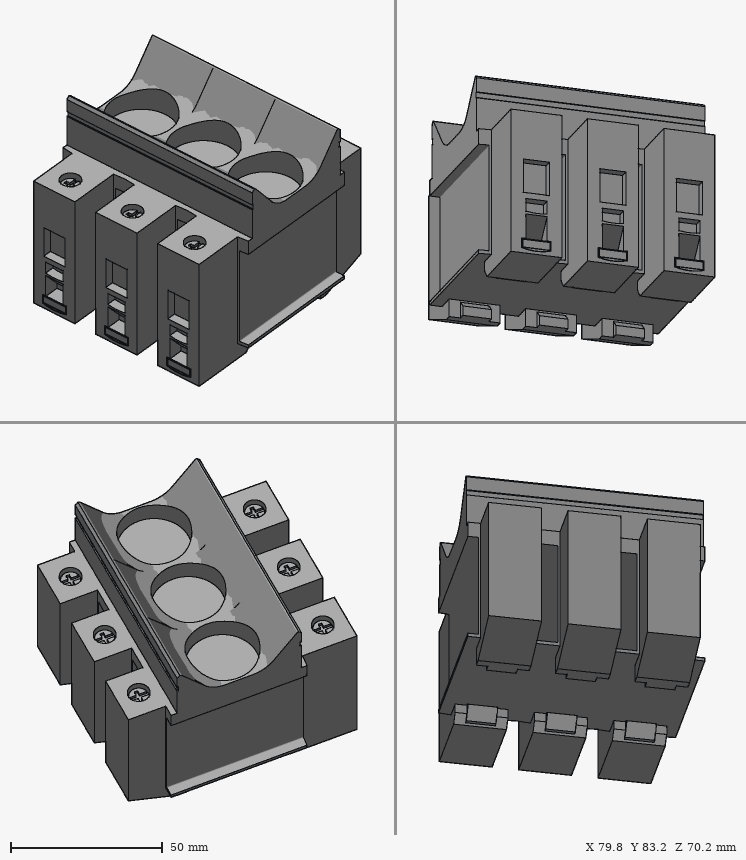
import cadquery as cq
import math

total_width = 79.8
total_depth = 83.2
total_height = 70.2
pole_pitch = 26.7
pole_centers = [-pole_pitch, 0.0, pole_pitch]
front_y = -total_depth / 2
back_y = total_depth / 2

body_front_y = -21.4
body_back_y = 28.0
core_front_y = -21.8
core_width = 19.3
shoulder_z = 50.4
collar_bottom_z = 44.9
foot_bottom_z = 6.2
foot_top_z = 7.5
window_radius = 0.3

housing_center_y = 3.25
housing_half_depth = 22.6
rim_radius = 1.0
rim_tangent_angle = math.radians(55)
grip_groove_bottom_z = 62.2
grip_groove_height = 2.0
grip_groove_depth = 0.5

trough_floor_z = 56.25
trough_flat_half_depth = 4.9
trough_middle_half_depth = 12.4
trough_end_half_depth = 9.4
trough_flat_half_width = 5.1
trough_end_steps = 4
cup_diameter = 24.8
cup_floor_z = 49.1

tower_width = 17.8
back_tower_slope_z = 6.65
back_tower_foot_y = 23.7
back_tower_inner_y = 20.7
front_tower_inner_y = -14.8
front_tower_foot_y = -17.4
front_tower_bevel_z = 3.0

rail_part_width = 10.0
hook_tip_y = 18.2
hook_root_z = 5.6
hook_tip_z = 3.3
clip_tip_y = -12.3
clip_neck_y = -14.1
clip_top_z = 5.2
clip_bottom_z = 0.7
clip_foot_y = -15.5

back_screw_y = 33.7
front_screw_y = -33.3
screw_hole_diameter = 7.5
screw_head_diameter = 6.8
screw_recess = 2.0
screw_slot_depth = 1.0
screw_slot_width = 1.4
screw_cross_width = 1.2
screw_cross_length = 4.5

label_width = 9.1
label_bottom_z = 21.5
label_top_z = 33.3
label_depth = 3.4
port_width = 7.4
upper_port_bottom_z = 14.9
upper_port_top_z = 19.4
upper_port_depth = 3.7
upper_port_sag = 0.3
wire_port_bottom_z = 5.2
wire_port_step_z = 7.3
wire_port_top_z = 13.9
wire_port_depth = 5.8
plate_width = 10.2
plate_top_z = 5.2
plate_bottom_z = 1.9
plate_groove_width = 0.3
plate_groove_depth = 0.25
plate_bottom_gap = 0.2
plate_sag = 0.75


def block(x_size, y_min, y_max, z_min, z_max):
    """Box centred on X = 0 between the given Y and Z limits."""
    return cq.Workplane("XY").box(
        x_size, y_max - y_min, z_max - z_min, centered=(True, False, False)
    ).translate((0, y_min, z_min))


def side_prism(points, width):
    """Prism of the given width, centred on X = 0, from a closed YZ outline."""
    return cq.Workplane("YZ").polyline(points).close().extrude(width / 2, both=True)


def sagging_pocket(width, z_min, z_max, sag, depth):
    """Pocket in the front face whose lower edge bows down by sag."""
    return (
        cq.Workplane("XZ", origin=(0, front_y, 0))
        .moveTo(-width / 2, z_min)
        .lineTo(-width / 2, z_max)
        .lineTo(width / 2, z_max)
        .lineTo(width / 2, z_min)
        .threePointArc((0, z_min - sag), (-width / 2, z_min))
        .close()
        .extrude(-depth)
    )


def pole_slab(z_min, z_max):
    """Full-width slab of one pole whose front face leans back slightly beside the tower."""
    half_width = pole_pitch / 2
    tower_half_width = tower_width / 2
    return (
        cq.Workplane("XY", origin=(0, 0, z_min))
        .polyline(
            [
                (-half_width, body_back_y),
                (-half_width, body_front_y),
                (-tower_half_width, core_front_y),
                (tower_half_width, core_front_y),
                (half_width, body_front_y),
                (half_width, body_back_y),
            ]
        )
        .close()
        .extrude(z_max - z_min)
    )


def make_body():
    """Collar and foot plates joined by one narrower core per pole, with windows between the cores."""
    collar = pole_slab(collar_bottom_z, shoulder_z)
    foot = pole_slab(foot_bottom_z, foot_top_z)
    core_span = block(core_width, core_front_y, body_back_y, foot_bottom_z, shoulder_z)
    core = pole_slab(foot_bottom_z, shoulder_z).intersect(core_span)
    pole_body = collar.union(foot).union(core)
    body = cq.Workplane("XY")
    for x in pole_centers:
        body = body.union(pole_body.translate((x, 0, 0)))
    body = body.intersect(block(total_width, front_y, back_y, 0, total_height))
    x_limit = total_width / 2 - window_radius
    core_corners = cq.selectors.BoxSelector(
        (-x_limit, front_y, foot_top_z - window_radius),
        (x_limit, back_y, collar_bottom_z + window_radius),
    )
    return body.edges("|Y").edges(core_corners).fillet(window_radius)


def make_housing():
    """Full-width fuse housing with two raised rims, grip grooves and a trough over each pole."""
    rim_y = housing_half_depth - rim_radius
    rim_z = total_height - rim_radius
    crest_y = rim_y - rim_radius * math.sin(rim_tangent_angle)
    crest_z = rim_z + rim_radius * math.cos(rim_tangent_angle)
    nose_y = rim_y - rim_radius * math.sin(rim_tangent_angle / 2)
    nose_z = rim_z + rim_radius * math.cos(rim_tangent_angle / 2)
    housing = (
        cq.Workplane("YZ")
        .moveTo(-housing_half_depth, collar_bottom_z)
        .lineTo(housing_half_depth, collar_bottom_z)
        .lineTo(housing_half_depth, rim_z)
        .lineTo(rim_y, total_height)
        .threePointArc((nose_y, nose_z), (crest_y, crest_z))
        .lineTo(-crest_y, crest_z)
        .threePointArc((-nose_y, nose_z), (-rim_y, total_height))
        .lineTo(-housing_half_depth, rim_z)
        .close()
        .extrude(total_width / 2, both=True)
    )
    trough = make_trough(crest_y, crest_z)
    for x in pole_centers:
        housing = housing.cut(trough.translate((x, 0, 0)))
    groove_top_z = grip_groove_bottom_z + grip_groove_height
    groove_floor_y = housing_half_depth - grip_groove_depth
    groove = block(total_width, groove_floor_y, housing_half_depth, grip_groove_bottom_z, groove_top_z)
    housing = housing.cut(groove).cut(groove.mirror("XZ"))
    return housing.translate((0, housing_center_y, 0))


def trough_section(x, half_depth, crest_y, crest_z):
    """Trough outline at one X: sides that would meet the floor at half_depth, rounded into its flat."""
    slope = math.atan2(crest_z - trough_floor_z, crest_y - half_depth)
    floor_y = trough_flat_half_depth
    tangent_length = half_depth - floor_y
    round_radius = tangent_length / math.tan(slope / 2)
    side_y = half_depth + tangent_length * math.cos(slope)
    side_z = trough_floor_z + tangent_length * math.sin(slope)
    middle_y = floor_y + round_radius * math.sin(slope / 2)
    middle_z = trough_floor_z + round_radius * (1 - math.cos(slope / 2))
    return (
        cq.Workplane("YZ", origin=(x, 0, 0))
        .moveTo(-crest_y, crest_z)
        .lineTo(-side_y, side_z)
        .threePointArc((-middle_y, middle_z), (-floor_y, trough_floor_z))
        .lineTo(floor_y, trough_floor_z)
        .threePointArc((middle_y, middle_z), (side_y, side_z))
        .lineTo(crest_y, crest_z)
        .close()
    )


def make_trough(crest_y, crest_z):
    """Straight middle stretch with an end on each side that bows in towards the neighbouring pole."""
    flat_x = trough_flat_half_width
    run = pole_pitch / 2 - flat_x
    drop = trough_middle_half_depth - trough_end_half_depth
    bow_radius = (run**2 + drop**2) / (2 * drop)
    end_wires = []
    for step in range(trough_end_steps + 1):
        offset = run * step / trough_end_steps
        half_depth = trough_middle_half_depth - bow_radius + math.sqrt(bow_radius**2 - offset**2)
        end_wires.append(trough_section(flat_x + offset, half_depth, crest_y, crest_z).val())
    bowed_end = cq.Workplane(cq.Solid.makeLoft(end_wires))
    middle = trough_section(-flat_x, trough_middle_half_depth, crest_y, crest_z).extrude(2 * flat_x)
    return middle.union(bowed_end).union(bowed_end.mirror("YZ"))


def make_back_tower():
    """Rear terminal tower with a sloped underside, carrying the fixed rail hook."""
    tower = side_prism(
        [
            (back_y, shoulder_z),
            (back_y, back_tower_slope_z),
            (back_tower_foot_y, 0),
            (back_tower_inner_y, 0),
            (back_tower_inner_y, shoulder_z),
        ],
        tower_width,
    )
    hook = side_prism(
        [
            (back_tower_inner_y, 0),
            (hook_tip_y, 0),
            (hook_tip_y, hook_tip_z),
            (back_tower_inner_y, hook_root_z),
        ],
        rail_part_width,
    )
    return tower.union(hook).cut(make_screw_recess(back_screw_y))


def make_front_tower():
    """Front terminal tower with its front openings, carrying the rail clip."""
    tower = side_prism(
        [
            (front_y, 0),
            (front_y, shoulder_z),
            (front_tower_inner_y, shoulder_z),
            (front_tower_inner_y, front_tower_bevel_z),
            (front_tower_foot_y, 0),
        ],
        tower_width,
    )
    clip = side_prism(
        [
            (clip_tip_y, clip_top_z),
            (clip_neck_y, clip_top_z),
            (clip_neck_y, foot_bottom_z),
            (front_tower_inner_y, foot_bottom_z),
            (front_tower_foot_y, clip_bottom_z),
            (clip_foot_y, clip_bottom_z),
        ],
        rail_part_width,
    )
    label_pocket = block(label_width, front_y, front_y + label_depth, label_bottom_z, label_top_z)
    upper_port = sagging_pocket(
        port_width, upper_port_bottom_z, upper_port_top_z, upper_port_sag, upper_port_depth
    )
    tower = tower.union(clip).cut(make_screw_recess(front_screw_y))
    return tower.cut(label_pocket).cut(upper_port).cut(make_wire_port()).cut(make_plate_groove())


def make_screw_recess(y):
    """Round hole over a sunken screw head with a crossed slot and a thin gap around it."""
    head_z = shoulder_z - screw_recess
    hole = cq.Workplane("XY", origin=(0, 0, head_z)).circle(screw_hole_diameter / 2).extrude(screw_recess)
    slot_plane = cq.Workplane("XY", origin=(0, 0, head_z - screw_slot_depth))
    head_radius = screw_head_diameter / 2
    ring = slot_plane.circle(screw_hole_diameter / 2).circle(head_radius).extrude(screw_slot_depth)
    slot = slot_plane.rect(screw_slot_width, screw_head_diameter).extrude(screw_slot_depth)
    cross = slot_plane.rect(screw_cross_length, screw_cross_width).extrude(screw_slot_depth)
    return hole.union(ring).union(slot).union(cross).translate((0, y, 0))


def make_wire_port():
    """Wire entry whose ceiling slopes down from the front face to a low back wall."""
    step_y = front_y + wire_port_depth
    return side_prism(
        [
            (front_y, wire_port_bottom_z),
            (step_y, wire_port_bottom_z),
            (step_y, wire_port_step_z),
            (front_y, wire_port_top_z),
        ],
        port_width,
    )


def make_plate_groove():
    """Shallow groove that outlines a flush plate below the wire entry."""
    recess = sagging_pocket(plate_width, plate_bottom_z, plate_top_z, plate_sag, plate_groove_depth)
    plate = block(
        plate_width - 2 * plate_groove_width,
        front_y,
        front_y + plate_groove_depth,
        plate_bottom_z + plate_bottom_gap,
        plate_top_z - plate_groove_width,
    )
    return recess.cut(plate)


def make_cup():
    """Round cup that sinks through the trough floor."""
    cup = cq.Workplane("XY", origin=(0, housing_center_y, cup_floor_z)).circle(cup_diameter / 2)
    return cup.extrude(total_height - cup_floor_z)


back_tower = make_back_tower()
front_tower = make_front_tower()
cup = make_cup()
result = make_body().union(make_housing())
for pole_x in pole_centers:
    result = result.union(back_tower.translate((pole_x, 0, 0)))
    result = result.union(front_tower.translate((pole_x, 0, 0)))
    result = result.cut(cup.translate((pole_x, 0, 0)))